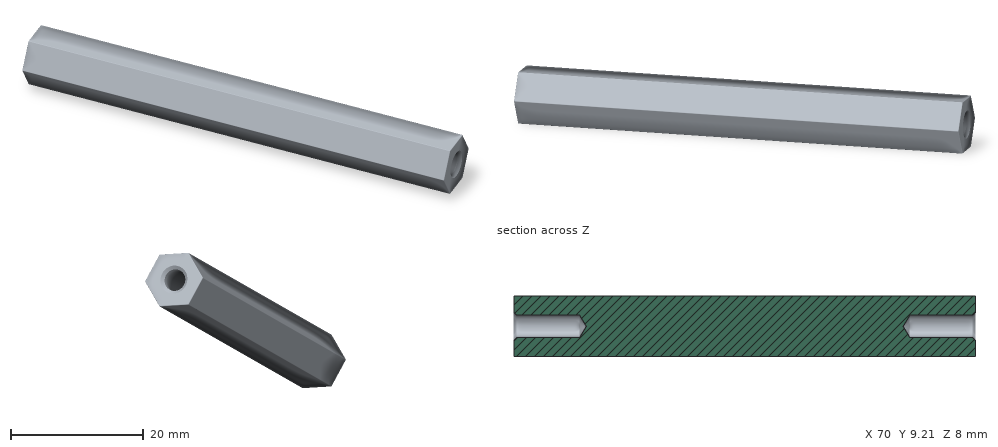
import cadquery as cq
import math

length = 70.0
hex_sides = 6
across_flats = 8.0
edge_radius = 0.1

hole_diameter = 3.3
hole_depth = 10.0
drill_point_angle = 118.0
countersink_diameter = 4.3
countersink_angle = 90.0


def make_hex_bar():
    """Hexagonal bar from X = 0, every edge lightly rounded, with corners on the Y axis."""
    across_corners = across_flats / math.cos(math.pi / hex_sides)
    bar = cq.Workplane("YZ").polygon(hex_sides, across_corners).extrude(length)
    return bar.edges().fillet(edge_radius)


def cone_height(radius_change, included_angle):
    return radius_change / math.tan(math.radians(included_angle / 2))


def make_hole_cutter():
    """Countersunk hole entering at X = 0, with a conical drill point at its bottom."""
    hole_radius = hole_diameter / 2
    countersink_radius = countersink_diameter / 2
    countersink_depth = cone_height(countersink_radius - hole_radius, countersink_angle)
    tip_depth = hole_depth + cone_height(hole_radius, drill_point_angle)
    return (
        cq.Workplane("XY")
        .moveTo(0, 0)
        .lineTo(0, countersink_radius)
        .lineTo(countersink_depth, hole_radius)
        .lineTo(hole_depth, hole_radius)
        .lineTo(tip_depth, 0)
        .close()
        .revolve(360, (0, 0, 0), (1, 0, 0))
    )


near_hole = make_hole_cutter()
far_hole = near_hole.mirror("YZ", (length / 2, 0, 0))
bar = make_hex_bar().cut(near_hole).cut(far_hole)
result = bar.translate((-length / 2, 0, 0))